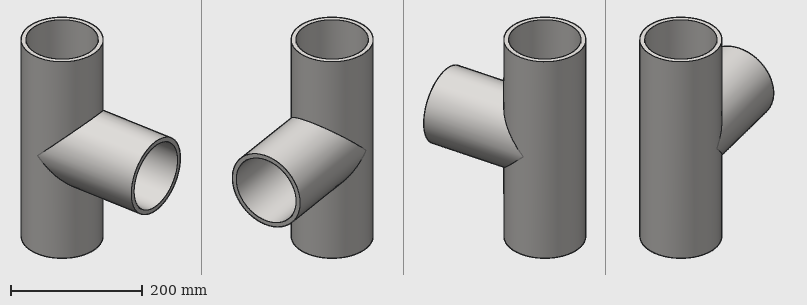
import cadquery as cq

outer_diameter = 125.0
wall = 7.5
run_length = 356
branch_reach = run_length / 2

inner_diameter = outer_diameter - 2 * wall


def tee_body(diameter):
    """Solid tee of one diameter, centred where the two pipe axes cross."""
    run = cq.Workplane("XY").circle(diameter / 2).extrude(run_length / 2, both=True)
    branch = cq.Workplane("YZ").circle(diameter / 2).extrude(branch_reach)
    return run.union(branch)


result = tee_body(outer_diameter).cut(tee_body(inner_diameter))